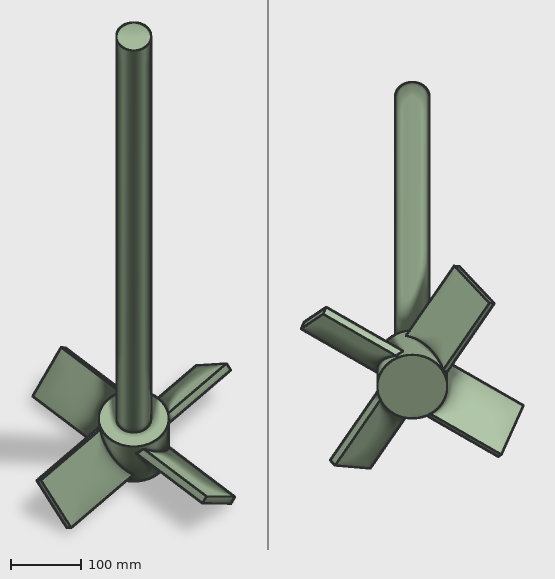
import cadquery as cq

total_height = 1000.0
shaft_diameter = 50.0
hub_diameter = 100.0
hub_height = 84.0

blade_count = 4
blade_span = 333.0
blade_width = 84.0
blade_thickness = 12.0
blade_pitch = -45.0
blade_mid_height = hub_height / 2


def make_blade(heading):
    """Flat blade from the axis outward along +X, pitched, then turned to its heading."""
    return (
        cq.Workplane("XY")
        .box(blade_span / 2, blade_width, blade_thickness, centered=(False, True, True))
        .rotate((0, 0, 0), (1, 0, 0), blade_pitch)
        .translate((0, 0, blade_mid_height))
        .rotate((0, 0, 0), (0, 0, 1), heading)
    )


hub = cq.Workplane("XY").circle(hub_diameter / 2).extrude(hub_height)
shaft = cq.Workplane("XY").circle(shaft_diameter / 2).extrude(total_height)

result = hub.union(shaft)
for index in range(blade_count):
    result = result.union(make_blade(index * 360 / blade_count))